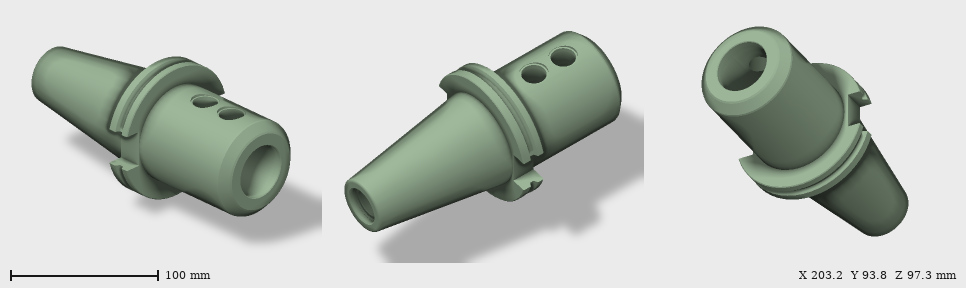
import cadquery as cq

total_length = 203.2
taper_length = 102.2
flange_start = 103.5
flange_end = 121.0

gauge_radius = 70.0 / 2
taper_ratio = 7 / 24
small_radius = gauge_radius - taper_length * taper_ratio / 2
taper_end_round = 2.0
body_radius = gauge_radius

nose_start = 195.5
nose_cone_start = 196.7
nose_cone_start_radius = 34.5
nose_cone_end = 202.5
nose_cone_end_radius = 28.9
nose_face_radius = 27.6

flange_radius = 97.3 / 2
flange_chamfer = 0.6
groove_start = 109.5
groove_end = 115.8
groove_floor_radius = 45.7
groove_wall_run = 1.6

slot_width = 25.8
slot_floor_plus_y = 37.5
slot_floor_minus_y = 35.4

through_radius = 22.0 / 2
pilot_mouth_radius = 26.6 / 2
pilot_mouth_depth = 4.5
pilot_radius = 26.2 / 2
pilot_depth = 6.0
pilot_chamfer = 0.8
shank_radius = 38.0 / 2
shank_mouth_radius = 39.0 / 2
shank_chamfer = shank_mouth_radius - shank_radius
shank_bore_start = 126.0

screw_positions = (149.2, 174.5)
screw_radius = 17.3 / 2
screw_recess_radius = 20.0 / 2
screw_recess_depth = 1.8


def revolve_about_x(points):
    """Revolve a closed (x, radius) outline about the tool axis."""
    return cq.Workplane("XY").polyline(points).close().revolve(360, (0, 0, 0), (1, 0, 0))


def make_taper():
    taper = revolve_about_x([
        (0, 0),
        (0, small_radius),
        (taper_length, gauge_radius),
        (flange_start, gauge_radius),
        (flange_start, 0),
    ])
    return taper.faces("<X").edges().fillet(taper_end_round)


def make_flange():
    rim_radius = flange_radius - flange_chamfer
    flange = revolve_about_x([
        (flange_start, 0),
        (flange_start, rim_radius),
        (flange_start + flange_chamfer, flange_radius),
        (groove_start, flange_radius),
        (groove_start + groove_wall_run, groove_floor_radius),
        (groove_end - groove_wall_run, groove_floor_radius),
        (groove_end, flange_radius),
        (flange_end - flange_chamfer, flange_radius),
        (flange_end, rim_radius),
        (flange_end, 0),
    ])
    flange_width = flange_end - flange_start
    for side, floor in ((1, slot_floor_plus_y), (-1, slot_floor_minus_y)):
        slot = cq.Workplane("XY").box(flange_width, flange_radius, slot_width)
        slot_center_y = side * (floor + flange_radius / 2)
        flange = flange.cut(slot.translate((flange_start + flange_width / 2, slot_center_y, 0)))
    return flange


def make_body():
    return revolve_about_x([
        (flange_start, 0),
        (flange_start, body_radius),
        (nose_start, body_radius),
        (nose_cone_start, nose_cone_start_radius),
        (nose_cone_end, nose_cone_end_radius),
        (total_length, nose_face_radius),
        (total_length, 0),
    ])


def make_axial_bore():
    """Stepped pilot bore at the taper end, through hole, and shank bore at the nose."""
    return revolve_about_x([
        (0, 0),
        (0, pilot_mouth_radius + pilot_chamfer),
        (pilot_chamfer, pilot_mouth_radius),
        (pilot_mouth_depth, pilot_mouth_radius),
        (pilot_mouth_depth, pilot_radius),
        (pilot_depth, pilot_radius),
        (pilot_depth, through_radius),
        (shank_bore_start, through_radius),
        (shank_bore_start, shank_radius),
        (total_length - shank_chamfer, shank_radius),
        (total_length, shank_mouth_radius),
        (total_length, 0),
    ])


def make_screw_hole(x):
    """Recessed hole from the top of the body down into the shank bore."""
    hole = cq.Workplane("XY").center(x, 0).circle(screw_radius).extrude(body_radius)
    recess = (
        cq.Workplane("XY", origin=(x, 0, body_radius - screw_recess_depth))
        .circle(screw_recess_radius)
        .extrude(screw_recess_depth)
    )
    return hole.union(recess)


result = make_taper().union(make_flange()).union(make_body()).cut(make_axial_bore())
for screw_x in screw_positions:
    result = result.cut(make_screw_hole(screw_x))